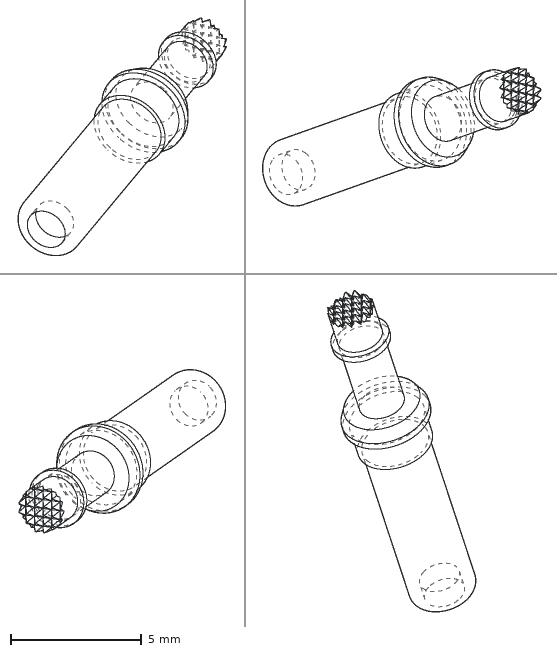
import cadquery as cq
import math

length = 15.1
rear_y = -length / 2
tip_y = length / 2

body_radius = 2.66 / 2
shoulder_radius = 2.99 / 2
flange_radius = 3.5 / 2
flange_nose_radius = 3.04 / 2
plunger_radius = 1.8 / 2
ring_radius = 2.31 / 2

shoulder_start = rear_y + 7.88
flange_start = rear_y + 9.2
flange_cone_start = rear_y + 9.48
flange_end = rear_y + 10.0
ring_start = rear_y + 13.21
ring_width = 0.29

rear_round = 0.4
bore_radius = 1.6 / 2
bore_depth = 0.8

grooves_each_way = 5
groove_pitch = 2 * plunger_radius / grooves_each_way
groove_angle = 60.0
groove_depth = groove_pitch / 2 / math.tan(math.radians(groove_angle / 2))


def turned_body():
    """Revolve the stepped half outline, with its rounded rear edge, about Y."""
    arc_offset = rear_round * (1 - math.sqrt(0.5))
    outline = (
        cq.Workplane("XY")
        .moveTo(0, rear_y)
        .lineTo(body_radius - rear_round, rear_y)
        .threePointArc(
            (body_radius - arc_offset, rear_y + arc_offset),
            (body_radius, rear_y + rear_round),
        )
        .lineTo(body_radius, shoulder_start)
        .lineTo(shoulder_radius, shoulder_start)
        .lineTo(shoulder_radius, flange_start)
        .lineTo(flange_radius, flange_start)
        .lineTo(flange_radius, flange_cone_start)
        .lineTo(flange_nose_radius, flange_end)
        .lineTo(plunger_radius, flange_end)
        .lineTo(plunger_radius, ring_start)
        .lineTo(ring_radius, ring_start)
        .lineTo(ring_radius, ring_start + ring_width)
        .lineTo(plunger_radius, ring_start + ring_width)
        .lineTo(plunger_radius, tip_y)
        .lineTo(0, tip_y)
        .close()
    )
    return outline.revolve(360, (0, 0, 0), (0, 1, 0))


def rear_bore():
    """Flat-bottomed blind hole opening at the rear end."""
    rear_plane = cq.Workplane("XZ", origin=(0, rear_y, 0))
    return rear_plane.circle(bore_radius).extrude(-bore_depth)


def tip_groove(offset):
    """V groove across the tip, running along Z at the given X offset."""
    return (
        cq.Workplane("XY")
        .polyline(
            [
                (offset - groove_pitch / 2, tip_y),
                (offset, tip_y - groove_depth),
                (offset + groove_pitch / 2, tip_y),
            ]
        )
        .close()
        .extrude(flange_radius, both=True)
    )


result = turned_body().cut(rear_bore())

for index in range(grooves_each_way):
    groove = tip_groove((index - (grooves_each_way - 1) / 2) * groove_pitch)
    result = result.cut(groove)
    result = result.cut(groove.rotate((0, 0, 0), (0, 1, 0), 90))